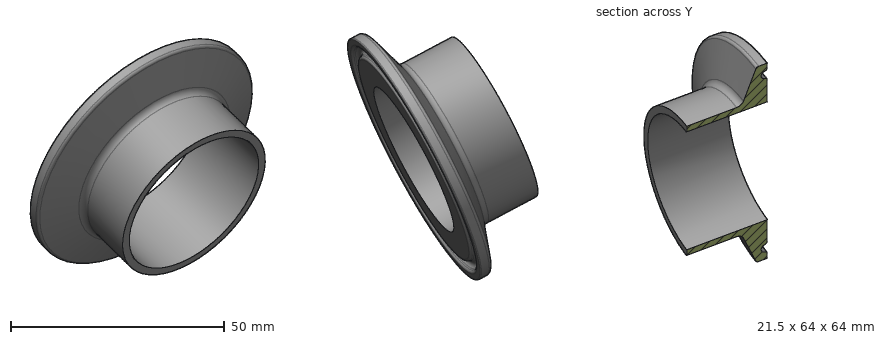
import cadquery as cq
import math

length = 21.5
flange_radius = 32.0
tube_radius = 21.2
bore_radius = 19.2

rim_width = 2.95
back_slope = 70.0
rim_back_fillet = 0.8
neck_fillet = 1.9
rim_front_fillet = 0.25

groove_center_radius = 28.35
groove_bottom_radius = 1.15
groove_lip_radius = 0.8
groove_wall_angle = 70.0
groove_wall_length = 0.4


def revolve_about_x(profile):
    return profile.close().revolve(360, (0, 0, 0), (1, 0, 0))


def make_body():
    slope = math.radians(back_slope)
    neck_x = rim_width + (flange_radius - tube_radius) / math.tan(slope)
    rim_setback = rim_back_fillet * math.tan(slope / 2)
    neck_setback = neck_fillet * math.tan(slope / 2)
    dx = math.cos(slope)
    dr = math.sin(slope)
    profile = (
        cq.Workplane("XZ")
        .moveTo(0, bore_radius)
        .lineTo(0, flange_radius - rim_front_fillet)
        .radiusArc((rim_front_fillet, flange_radius), rim_front_fillet)
        .lineTo(rim_width - rim_setback, flange_radius)
        .radiusArc((rim_width + rim_setback * dx, flange_radius - rim_setback * dr), rim_back_fillet)
        .lineTo(neck_x - neck_setback * dx, tube_radius + neck_setback * dr)
        .radiusArc((neck_x + neck_setback, tube_radius), -neck_fillet)
        .lineTo(length, tube_radius)
        .lineTo(length, bore_radius)
    )
    return revolve_about_x(profile)


def make_groove():
    """Ring with a round bottom that blends into the face through rounded lips."""
    wall = math.radians(groove_wall_angle)
    lip_x = groove_lip_radius * (1 - math.cos(wall))
    wall_x = lip_x + groove_wall_length * math.sin(wall)
    depth = wall_x + groove_bottom_radius * (1 - math.cos(wall))
    bottom_offset = groove_bottom_radius * math.sin(wall)
    wall_offset = bottom_offset + groove_wall_length * math.cos(wall)
    lip_offset = wall_offset + groove_lip_radius * math.sin(wall)
    profile = (
        cq.Workplane("XZ")
        .moveTo(0, groove_center_radius - lip_offset)
        .radiusArc((lip_x, groove_center_radius - wall_offset), groove_lip_radius)
        .lineTo(wall_x, groove_center_radius - bottom_offset)
        .threePointArc((depth, groove_center_radius), (wall_x, groove_center_radius + bottom_offset))
        .lineTo(lip_x, groove_center_radius + wall_offset)
        .radiusArc((0, groove_center_radius + lip_offset), groove_lip_radius)
    )
    return revolve_about_x(profile)


result = make_body().cut(make_groove())